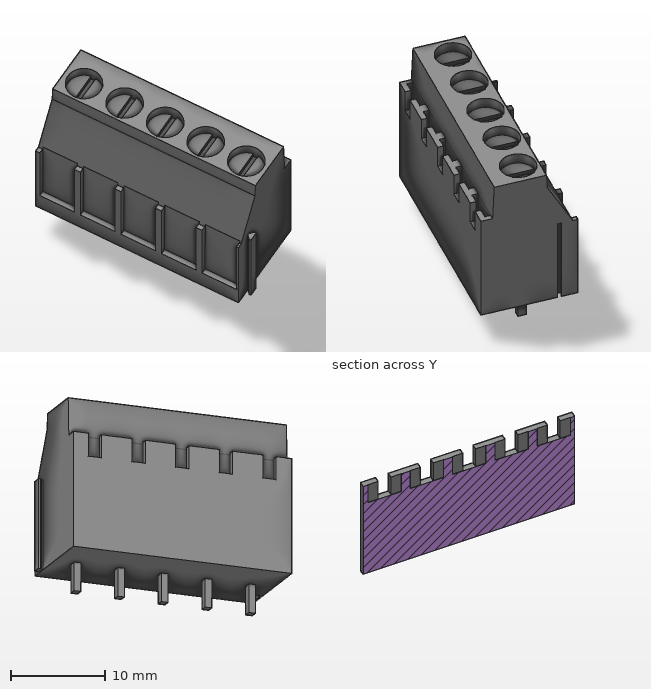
import cadquery as cq

pole_count = 5
pitch = 5.0
first_pole_x = 2.55
body_length = pole_count * pitch
total_length = 25.65
body_depth = 11.0
body_height = 17.08

shoulder_height = 10.03
shoulder_depth = 0.56
slope_top_height = 15.35
slope_top_y = 3.45
crown_front_y = 3.57
crown_back_y = 9.5
crown_foot_y = 9.67
ledge_height = 12.85

pocket_width = 4.25
pocket_offset = 0.1
pocket_bottom = 2.25
pocket_bottom_depth = 0.65
pocket_top_depth = 0.7
pocket_top = 10.34

screw_y = 5.85
well_diameter = 3.98
well_radius = well_diameter / 2
well_depth = 1.23
slot_width = 0.6
slot_depth = 0.5

socket_mouth_width = 1.51
socket_mouth_length = 0.67
socket_inner_width = 3.9
socket_depth = 2.56

dovetail_y = 2.08
dovetail_neck_width = 0.44
dovetail_head_width = 1.1
dovetail_neck_length = 0.15
dovetail_flare_end = 0.4
dovetail_length = total_length - body_length

pin_x_size = 0.77
pin_y_size = 0.95
pin_y = 5.55
pin_length = 3.2

pole_centers = [first_pole_x + index * pitch for index in range(pole_count)]


def box(x_center, x_size, y_start, y_end, z_start, z_end):
    """Axis-aligned block centred on x_center."""
    size = (x_size, y_end - y_start, z_end - z_start)
    block = cq.Workplane("XY").box(*size, centered=(True, False, False))
    return block.translate((x_center, y_start, z_start))


def make_housing():
    profile = [
        (0, 0),
        (body_depth, 0),
        (body_depth, ledge_height),
        (crown_foot_y, ledge_height),
        (crown_back_y, body_height),
        (crown_front_y, body_height),
        (slope_top_y, slope_top_height),
        (shoulder_depth, shoulder_height),
        (0, shoulder_height),
    ]
    return cq.Workplane("YZ").polyline(profile).close().extrude(body_length)


def make_pocket(x_center):
    profile = [
        (0, pocket_bottom),
        (pocket_bottom_depth, pocket_bottom),
        (pocket_top_depth, pocket_top),
        (0, pocket_top),
    ]
    pocket = cq.Workplane("YZ").polyline(profile).close().extrude(pocket_width)
    return pocket.translate((x_center + pocket_offset - pocket_width / 2, 0, 0))


def make_screw_well(x_center):
    head_top = body_height - well_depth
    slot_floor = head_top - slot_depth
    slot_start = screw_y - well_radius
    slot_end = screw_y + well_radius
    bore = cq.Workplane("XY", origin=(x_center, screw_y, slot_floor)).circle(well_radius)
    bore = bore.extrude(well_depth + slot_depth)
    well = bore.intersect(box(x_center, well_diameter, slot_start, slot_end, head_top, body_height))
    slot = bore.intersect(box(x_center, slot_width, slot_start, slot_end, slot_floor, head_top))
    return well.union(slot)


def make_socket(x_center):
    floor = ledge_height - socket_depth
    inner_end = body_depth - socket_mouth_length
    mouth = box(x_center, socket_mouth_width, inner_end, body_depth, floor, ledge_height)
    inner = box(x_center, socket_inner_width, crown_foot_y, inner_end, floor, ledge_height)
    return mouth.union(inner)


def make_pin(x_center):
    return box(x_center, pin_x_size, pin_y - pin_y_size / 2, pin_y + pin_y_size / 2, -pin_length, 0)


def make_dovetail(x_start):
    """Dovetail bar widening toward +X, from the underside up to the shoulder."""
    neck = dovetail_neck_width / 2
    head = dovetail_head_width / 2
    outline = [
        (0, -neck),
        (dovetail_neck_length, -neck),
        (dovetail_flare_end, -head),
        (dovetail_length, -head),
        (dovetail_length, head),
        (dovetail_flare_end, head),
        (dovetail_neck_length, neck),
        (0, neck),
    ]
    bar = cq.Workplane("XY").polyline(outline).close().extrude(shoulder_height)
    return bar.translate((x_start, dovetail_y, 0))


result = make_housing()
for pole_x in pole_centers:
    result = result.cut(make_pocket(pole_x))
    result = result.cut(make_screw_well(pole_x))
    result = result.cut(make_socket(pole_x))
    result = result.union(make_pin(pole_x))
result = result.cut(make_dovetail(0))
result = result.union(make_dovetail(body_length))